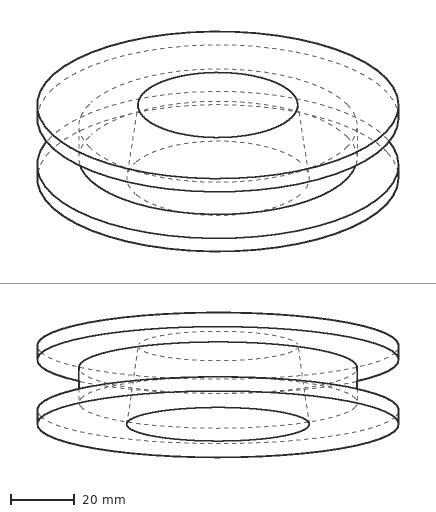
import cadquery as cq

outer_diameter = 113.0
width = 25.0

bore_top_diameter = 50.0
bore_bottom_diameter = 57.1

groove_floor_diameter = 87.0
groove_floor_width = 11.1
rim_thickness = 4.5

outer_radius = outer_diameter / 2
bore_top_radius = bore_top_diameter / 2
bore_bottom_radius = bore_bottom_diameter / 2
groove_floor_radius = groove_floor_diameter / 2
half_width = width / 2
half_floor = groove_floor_width / 2
half_mouth = half_width - rim_thickness

profile = (
    cq.Workplane("XZ")
    .moveTo(bore_bottom_radius, -half_width)
    .lineTo(outer_radius, -half_width)
    .lineTo(outer_radius, -half_mouth)
    .lineTo(groove_floor_radius, -half_floor)
    .lineTo(groove_floor_radius, half_floor)
    .lineTo(outer_radius, half_mouth)
    .lineTo(outer_radius, half_width)
    .lineTo(bore_top_radius, half_width)
    .close()
)

result = profile.revolve(360, (0, 0, 0), (0, 1, 0))